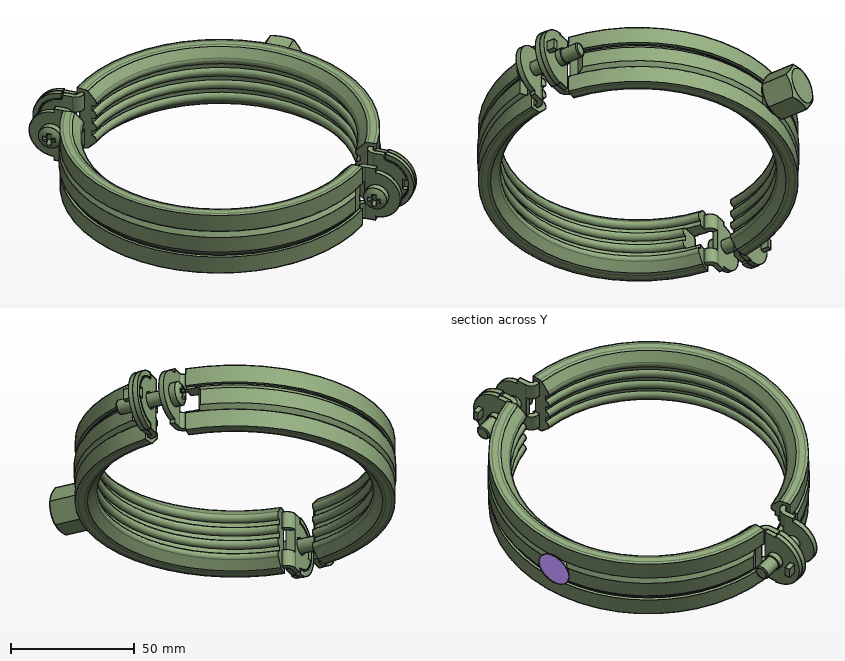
import math

import cadquery as cq

RING_WIDTH = 28.2
RUBBER_OUTER_R = 64.65
BULGE_OUTER_R = 65.0
BULGE_FLAT_HALF = 3.5
BULGE_FOOT_HALF = 5.6
LIP_HALF_GAP = 6.2
STEEL_OUTER_R = 63.4
STEEL_INNER_R = 60.9
RIM_INNER_R = 59.7
RIM_OUTER_BEVEL = 0.15
RIM_INNER_BEVEL = 0.3
RIM_SLOPE_ANGLE = 45.0
RIB_TIP_R = 55.85
RIB_R = 1.9
RIB_PITCH = 6.0
RIB_COUNT = 4
SPLIT_ANGLE = 8.0

EAR_THICKNESS = 2.15
EAR_HALF_WIDTH = 12.4
EAR_GAP_HALF = 4.3
EAR_ROUND_X = 68.6
EAR_ROUND_R = 10.6
BEND_OUTER_R = 3.8
BEND_INNER_X = 60.5
LEG_END_Y = 9.2
WINDOW_HALF_WIDTH = 5.1
WINDOW_START_X = 63.9
WINDOW_END_Y = 14.4
RUNOUT_CREST_ANGLE = 13.6
RUNOUT_FOOT_ANGLE = 11.2

CAP_R = 13.0
CAP_X = 68.25
CAP_END_X = 69.2
CAP_THICKNESS = 4.1
CAP_STEP = 0.15
BACK_PLATE_INNER_X = 63.9
TAB_X = 77.6
TAB_LENGTH = 2.2
TAB_WIDTH = 4.6
TAB_HEIGHT = 3.4
CAP_GROOVE_WIDTH = 0.6

SCREW_X = 69.4
SCREW_D = 6.0
SCREW_TIP_Y = 18.4
SCREW_TIP_CHAMFER = 0.5
EAR_HOLE_D = 7.3
COLLAR_D = 7.0
COLLAR_HEIGHT = 2.4
HEAD_D = 9.9
HEAD_RIM_HEIGHT = 2.7
HEAD_HEIGHT = 4.6
RECESS_LENGTH = 6.4
RECESS_WIDTH = 2.0
RECESS_DEPTH = 2.4
RECESS_FLOOR_R = 1.4

NUT_FLATS = 17.0
NUT_TOP_Y = 79.75
NUT_BOTTOM_Y = 65.4
NUT_FACE_D = 15.0
NUT_CHAMFER_ANGLE = 30.0
NECK_D = 14.0
NECK_BOTTOM_Y = 62.5


def box_between(x0, x1, y0, y1, z0, z1):
    """Box between the given limits on each axis."""
    return cq.Workplane("XY").box(x1 - x0, y1 - y0, z1 - z0, centered=False).translate((x0, y0, z0))


def cylinder_along_y(diameter, x, y0, y1):
    """Cylinder along Y at the given X, centred on the mid-plane."""
    axis = cq.Vector(0, 1, 0)
    return cq.Workplane(obj=cq.Solid.makeCylinder(diameter / 2, y1 - y0, cq.Vector(x, y0, 0), axis))


def full_ring():
    """Closed ring: rim bevels, steel bulge outside and rounded ribs inside."""
    top = RING_WIDTH / 2
    rib_base_r = RIB_TIP_R + RIB_R
    first_rib_z = RIB_PITCH * (RIB_COUNT - 1) / 2
    slope = math.radians(RIM_SLOPE_ANGLE)
    slope_r = rib_base_r - RIB_R * math.sin(slope)
    slope_z = first_rib_z + RIB_R * math.cos(slope)

    upper_side = [
        (BULGE_OUTER_R, BULGE_FLAT_HALF),
        (STEEL_OUTER_R, BULGE_FOOT_HALF),
        (STEEL_OUTER_R, LIP_HALF_GAP),
        (RUBBER_OUTER_R, LIP_HALF_GAP),
        (RUBBER_OUTER_R, top - RIM_OUTER_BEVEL),
        (STEEL_OUTER_R, top),
        (STEEL_INNER_R, top),
        (RIM_INNER_R, top - RIM_INNER_BEVEL),
        (slope_r, slope_z),
    ]
    lower_side = [(r, -z) for r, z in reversed(upper_side)]

    profile = cq.Workplane("XZ").polyline(upper_side)
    for index in range(RIB_COUNT):
        rib_z = first_rib_z - index * RIB_PITCH
        last = index == RIB_COUNT - 1
        if index > 0:
            profile = profile.lineTo(rib_base_r, rib_z + RIB_R)
        rib_end = lower_side[0] if last else (rib_base_r, rib_z - RIB_R)
        profile = profile.threePointArc((RIB_TIP_R, rib_z), rib_end)
    for point in lower_side[1:]:
        profile = profile.lineTo(*point)
    return profile.close().revolve(360, (0, 0), (0, 1))


def split_wedge():
    """Wedge on the -X side that separates the two half rings."""
    reach = 2 * BULGE_OUTER_R
    rise = reach * math.tan(math.radians(SPLIT_ANGLE))
    outline = [(0, 0), (-reach, rise), (-reach, -rise)]
    return cq.Workplane("XY").polyline(outline).close().extrude(RING_WIDTH, both=True)


def ear():
    """Lower ear on the -X side: rounded plate, bend and leg into the ring."""
    mating_y = -EAR_GAP_HALF
    back_y = mating_y - EAR_THICKNESS
    leg_outer_x = -BEND_INNER_X - EAR_THICKNESS
    bend_x = -BEND_INNER_X - BEND_OUTER_R
    bend_y = mating_y - BEND_OUTER_R
    bend_inner_r = BEND_OUTER_R - EAR_THICKNESS
    diagonal = math.sqrt(0.5)
    strip = (
        cq.Workplane("XY")
        .moveTo(-EAR_ROUND_X, mating_y)
        .lineTo(bend_x, mating_y)
        .threePointArc(
            (bend_x + BEND_OUTER_R * diagonal, bend_y + BEND_OUTER_R * diagonal),
            (-BEND_INNER_X, bend_y),
        )
        .lineTo(-BEND_INNER_X, -LEG_END_Y)
        .lineTo(leg_outer_x, -LEG_END_Y)
        .lineTo(leg_outer_x, bend_y)
        .threePointArc(
            (bend_x + bend_inner_r * diagonal, bend_y + bend_inner_r * diagonal),
            (bend_x, back_y),
        )
        .lineTo(-EAR_ROUND_X, back_y)
        .close()
        .extrude(EAR_HALF_WIDTH, both=True)
    )
    disc = cylinder_along_y(2 * EAR_ROUND_R, -EAR_ROUND_X, back_y, mating_y)
    inner_side = box_between(-EAR_ROUND_X, 0, back_y, mating_y, -EAR_ROUND_R, EAR_ROUND_R)
    return strip.union(disc.cut(inner_side))


def bend_window():
    """Opening through the bends of both -X ears."""
    half = WINDOW_HALF_WIDTH
    return box_between(-WINDOW_START_X, -RIM_INNER_R, -LEG_END_Y, LEG_END_Y, -half, half)


def tab_block(y0, y1):
    """Block with the plan of the cap's tab."""
    half = TAB_LENGTH / 2
    return box_between(-TAB_X - half, -TAB_X + half, y0, y1, -TAB_WIDTH / 2, TAB_WIDTH / 2)


def cap():
    """Retaining cap round the upper ear, with its back plate and tab."""
    y0 = EAR_GAP_HALF
    y1 = y0 + CAP_THICKNESS
    plate_y = y0 + EAR_THICKNESS
    disc = cylinder_along_y(2 * CAP_R, -CAP_X, y0, plate_y)
    disc = disc.union(cylinder_along_y(2 * (CAP_R - CAP_STEP), -CAP_X, plate_y, y1))
    disc = disc.intersect(box_between(-CAP_X - CAP_R, -CAP_END_X, y0, y1, -CAP_R, CAP_R))
    half = EAR_HALF_WIDTH - CAP_STEP
    plate = box_between(-CAP_END_X, -BACK_PLATE_INNER_X, plate_y, y1, -half, half)
    return disc.union(plate).union(tab_block(plate_y, y1 + TAB_HEIGHT))


def cap_groove():
    """Half-round groove between the upper ear and the rim of the cap."""
    y0 = EAR_GAP_HALF
    y1 = y0 + EAR_THICKNESS
    groove = cylinder_along_y(2 * EAR_ROUND_R, -EAR_ROUND_X, y0, y1)
    groove = groove.cut(cylinder_along_y(2 * (EAR_ROUND_R - CAP_GROOVE_WIDTH), -EAR_ROUND_X, y0, y1))
    return groove.cut(box_between(-CAP_END_X, 0, y0, y1, -EAR_ROUND_R, EAR_ROUND_R))


def cross_recess(top_y):
    """Cross-shaped tool recess that narrows from the head's top down to its floor."""
    cone = cq.Solid.makeCone(
        RECESS_LENGTH / 2, RECESS_FLOOR_R, RECESS_DEPTH, cq.Vector(-SCREW_X, top_y, 0), cq.Vector(0, 1, 0)
    )
    arm = cq.Workplane("XY").box(RECESS_LENGTH, 2 * RECESS_DEPTH, RECESS_WIDTH)
    cross = arm.union(arm.rotate((0, 0, 0), (0, 1, 0), 90)).translate((-SCREW_X, top_y, 0))
    return cross.intersect(cq.Workplane(obj=cone))


def screw():
    """Domed screw along Y with a cross recess; the head bears on the lower ear."""
    seat_y = -EAR_GAP_HALF - EAR_THICKNESS
    top_y = seat_y - HEAD_HEIGHT
    shank = cylinder_along_y(SCREW_D, -SCREW_X, seat_y, SCREW_TIP_Y)
    shank = shank.faces(">Y").chamfer(SCREW_TIP_CHAMFER)
    head_r = HEAD_D / 2
    rim_y = seat_y - HEAD_RIM_HEIGHT
    dome_height = HEAD_HEIGHT - HEAD_RIM_HEIGHT
    dome_r = (head_r**2 + dome_height**2) / (2 * dome_height)
    mid_r = head_r / 2
    mid_y = top_y + dome_r - math.sqrt(dome_r**2 - mid_r**2)
    head = (
        cq.Workplane("XY")
        .moveTo(0, seat_y)
        .lineTo(head_r, seat_y)
        .lineTo(head_r, rim_y)
        .threePointArc((mid_r, mid_y), (0, top_y))
        .close()
        .revolve(360, (0, 0), (0, 1))
        .translate((-SCREW_X, 0, 0))
    )
    return shank.union(head.cut(cross_recess(top_y)))


def nut():
    """Hexagon nut on a short neck, standing on the ring along +Y, chamfered at both ends."""
    corner_r = NUT_FLATS / math.sqrt(3)
    face_r = NUT_FACE_D / 2
    drop = (corner_r - face_r) * math.tan(math.radians(NUT_CHAMFER_ANGLE))
    length = NUT_TOP_Y - NUT_BOTTOM_Y
    hexagon = (
        cq.Workplane("XZ", origin=(0, NUT_TOP_Y, 0))
        .polygon(6, 2 * corner_r)
        .extrude(length)
    )
    envelope = (
        cq.Workplane("XY")
        .polyline([
            (0, NUT_BOTTOM_Y),
            (face_r, NUT_BOTTOM_Y),
            (corner_r, NUT_BOTTOM_Y + drop),
            (corner_r, NUT_TOP_Y - drop),
            (face_r, NUT_TOP_Y),
            (0, NUT_TOP_Y),
        ])
        .close()
        .revolve(360, (0, 0), (0, 1))
    )
    return hexagon.intersect(envelope).union(cylinder_along_y(NECK_D, 0, NECK_BOTTOM_Y, NUT_BOTTOM_Y))


def clamp_side():
    """Everything at the -X joint: both ears, the cap and the screw."""
    lower_ear = ear().cut(bend_window())
    cap_back_y = EAR_GAP_HALF + CAP_THICKNESS
    plate_y = EAR_GAP_HALF + EAR_THICKNESS
    upper = lower_ear.mirror("XZ").union(cap()).cut(cap_groove())
    upper = upper.cut(cylinder_along_y(EAR_HOLE_D, -SCREW_X, EAR_GAP_HALF, plate_y))
    upper = upper.cut(tab_block(EAR_GAP_HALF, plate_y))
    collar = cylinder_along_y(COLLAR_D, -SCREW_X, cap_back_y, cap_back_y + COLLAR_HEIGHT)
    return lower_ear.union(upper).union(collar).union(screw())


def bulge_runout():
    """Material trimmed off the bulge at its upper -X end, down to the steel band."""
    crest_angle = math.radians(180 - RUNOUT_CREST_ANGLE)
    foot_angle = math.radians(180 - RUNOUT_FOOT_ANGLE)
    crest = (BULGE_OUTER_R * math.cos(crest_angle), BULGE_OUTER_R * math.sin(crest_angle))
    foot = (STEEL_OUTER_R * math.cos(foot_angle), STEEL_OUTER_R * math.sin(foot_angle))
    reach = 2 * BULGE_OUTER_R
    outline = [(0, 0), foot, crest, (-reach, crest[1]), (-reach, 0)]
    wedge = cq.Workplane("XY").polyline(outline).close().extrude(LIP_HALF_GAP, both=True)
    return wedge.cut(cq.Workplane("XY").circle(STEEL_OUTER_R).extrude(LIP_HALF_GAP, both=True))


def half_ring_pair():
    """Split ring with the bulge run out at all four ends and one window right through."""
    runouts = bulge_runout()
    runouts = runouts.union(runouts.mirror("XZ"))
    wedge = split_wedge()
    half = WINDOW_HALF_WIDTH
    window = box_between(-BULGE_OUTER_R, 0, -WINDOW_END_Y, 0, -half, half)
    ring = full_ring().cut(wedge).cut(wedge.mirror("YZ"))
    return ring.cut(runouts).cut(runouts.mirror("YZ")).cut(window)


side = clamp_side()
result = half_ring_pair().union(nut()).union(side).union(side.mirror("YZ"))